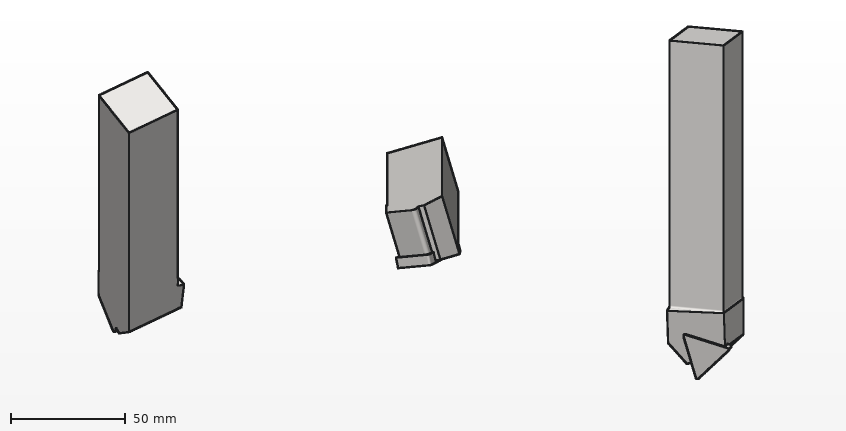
import cadquery as cq
import math

shank_side = 25.0
total_height = 151.4

head_overhang = 0.5
head_top = 31.0
step_fillet = 0.9
shoulder_z = 15.6
front_flank_sum = 14.5
tip_z = 1.8
tip_radius = 1.4
heel_x = 16.8
heel_z = 6.4
notch_x = 14.2
notch_z = 7.4
head_blank_depth = 30.3
rake_slope = 0.095
rake_edge_y = 25.9
back_ramp_slope = 0.25

insert_inscribed_diameter = 12.7
insert_corner_radius = 0.8
insert_thickness = 4.7
insert_overhang = 2.4
cutting_edge_y = 25.0

shank_bottom = head_top + step_fillet

rake_normal = (-rake_slope, 1, -rake_slope)
edge_direction = (1, 0, -1)

half_corner_angle = math.radians(30)
corner_line_angle = math.radians(60)
insert_circumradius = insert_inscribed_diameter
foreshortening = 1 / math.sqrt(1 + 2 * rake_slope ** 2)
corner_center_reach = ((insert_circumradius - 2 * insert_corner_radius)
                       * (math.sin(corner_line_angle) + math.cos(corner_line_angle) * foreshortening)
                       / math.sqrt(2))
corner_reach = corner_center_reach + insert_corner_radius * math.sqrt((1 + foreshortening ** 2) / 2)
insert_center_x = corner_reach - insert_overhang
insert_center_z = corner_reach
insert_center_y = cutting_edge_y + rake_slope * math.sqrt(2) * insert_inscribed_diameter / 2


def make_insert():
    plane = cq.Plane(
        origin=(insert_center_x, insert_center_y, insert_center_z),
        xDir=edge_direction,
        normal=rake_normal,
    )
    half_edge = insert_circumradius * math.cos(half_corner_angle)
    edge_offset = insert_inscribed_diameter / 2
    corners = [(-half_edge, edge_offset), (half_edge, edge_offset), (0, -insert_circumradius)]
    blank = cq.Workplane(plane).polyline(corners).close().extrude(-insert_thickness)
    side_edges = blank.edges(cq.selectors.ParallelDirSelector(plane.zDir))
    return side_edges.fillet(insert_corner_radius)


def make_head():
    left = -head_overhang
    arc_bottom = shank_bottom - math.sqrt(step_fillet ** 2 - head_overhang ** 2)
    blank = (
        cq.Workplane("XZ")
        .moveTo(shank_side, shank_bottom)
        .lineTo(0, shank_bottom)
        .radiusArc((left, arc_bottom), step_fillet)
        .lineTo(left, front_flank_sum - left)
        .lineTo(front_flank_sum - tip_z, tip_z)
        .lineTo(notch_x, notch_z)
        .lineTo(heel_x, heel_z)
        .lineTo(shank_side, shoulder_z)
        .close()
        .extrude(-head_blank_depth)
    )
    blank = blank.edges(cq.NearestToPointSelector((front_flank_sum - tip_z, head_blank_depth / 2, tip_z)))
    blank = blank.fillet(tip_radius)

    rake_plane = cq.Plane(
        origin=(left, rake_edge_y, head_top), xDir=edge_direction, normal=rake_normal)
    above_rake = cq.Workplane(rake_plane).rect(2 * total_height, 2 * total_height).extrude(head_blank_depth)

    arc_end_y = shank_side + step_fillet
    ramp_drop = back_ramp_slope * (head_blank_depth - arc_end_y)
    above_ramp = (
        cq.Workplane("YZ")
        .moveTo(shank_side, shank_bottom)
        .radiusArc((arc_end_y, head_top), -step_fillet)
        .lineTo(head_blank_depth, head_top - ramp_drop)
        .lineTo(head_blank_depth, total_height)
        .lineTo(shank_side, total_height)
        .close()
        .extrude(2 * shank_side, both=True)
    )
    return blank.cut(above_rake).cut(above_ramp)


def make_holder(insert):
    shank = cq.Workplane("XY").box(
        shank_side, shank_side, total_height - shank_bottom, centered=False
    ).translate((0, 0, shank_bottom))
    return shank.union(make_head()).cut(insert)


insert = make_insert()
holder = make_holder(insert)
result = cq.Compound.makeCompound([holder.val(), insert.val()])